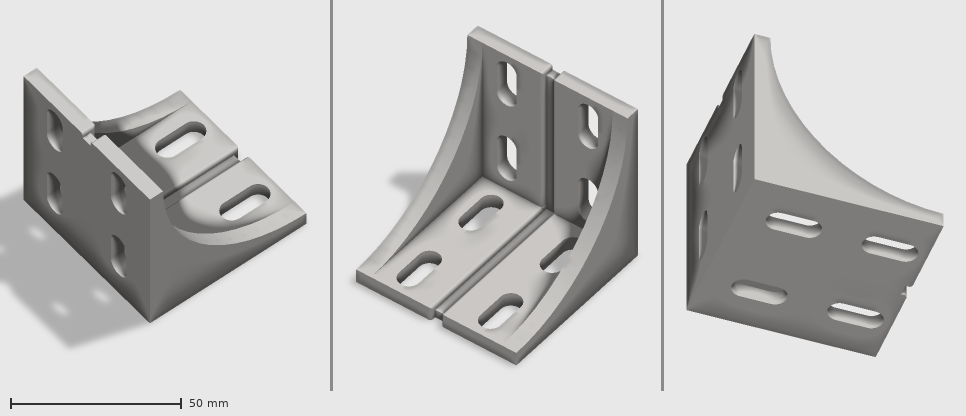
import cadquery as cq

size = 59.0
plate = 5.0
rib_width = 5.5

slot_width = 7.3
slot_length = 17.2
slot_spacing = 30.0
slot_row_centre = 32.5

groove_width = 3.8
groove_depth = 2.0
groove_round = 1.0

inner_reach = size - plate


def angle_plates():
    """Two plates at right angles, centred on X = 0."""
    return (
        cq.Workplane("YZ")
        .polyline([(0, 0), (size, 0), (size, plate), (plate, plate), (plate, size), (0, size)])
        .close()
        .extrude(size / 2, both=True)
    )


def side_rib():
    """Solid gusset with a concave quarter-circle edge, starting at X = 0."""
    blank = cq.Workplane("YZ").rect(size, size, centered=False).extrude(rib_width)
    hollow = cq.Workplane("YZ").center(size, size).circle(inner_reach).extrude(rib_width)
    return blank.cut(hollow)


def slots(plane):
    """Four slot cutters through one plate, lying in the given plane."""
    return (
        cq.Workplane(plane)
        .center(0, slot_row_centre)
        .rarray(slot_spacing, slot_spacing, 2, 2)
        .slot2D(slot_length, slot_width, 90)
        .extrude(plate, both=True)
    )


def groove_profile(plane, surface):
    """Groove section cut down from a surface, with rounded shoulders."""
    half = groove_width / 2
    shoulder = half + groove_round
    bottom = surface - groove_depth
    tangent = surface - groove_round
    return (
        cq.Workplane(plane)
        .moveTo(-half, bottom)
        .lineTo(half, bottom)
        .lineTo(half, tangent)
        .radiusArc((shoulder, surface), groove_round)
        .lineTo(-shoulder, surface)
        .radiusArc((-half, tangent), groove_round)
        .close()
    )


def groove():
    """Groove along both inner faces and through the free end of each plate."""
    groove_floor = plate - groove_depth
    run = size - groove_floor
    along_base = groove_profile("XZ", plate).extrude(-run).translate((0, groove_floor, 0))
    along_wall = groove_profile("XY", plate).extrude(run).translate((0, 0, groove_floor))
    across_base_end = groove_profile("XY", size).extrude(plate)
    across_wall_top = groove_profile("XZ", size).extrude(-plate)
    return along_base.union(along_wall).union(across_base_end).union(across_wall_top)


def main_body():
    body = angle_plates()
    body = body.union(side_rib().translate((-size / 2, 0, 0)))
    return body.union(side_rib().translate((size / 2 - rib_width, 0, 0)))


result = main_body()
for slot_plane in ("XY", "XZ"):
    result = result.cut(slots(slot_plane))
result = result.cut(groove())